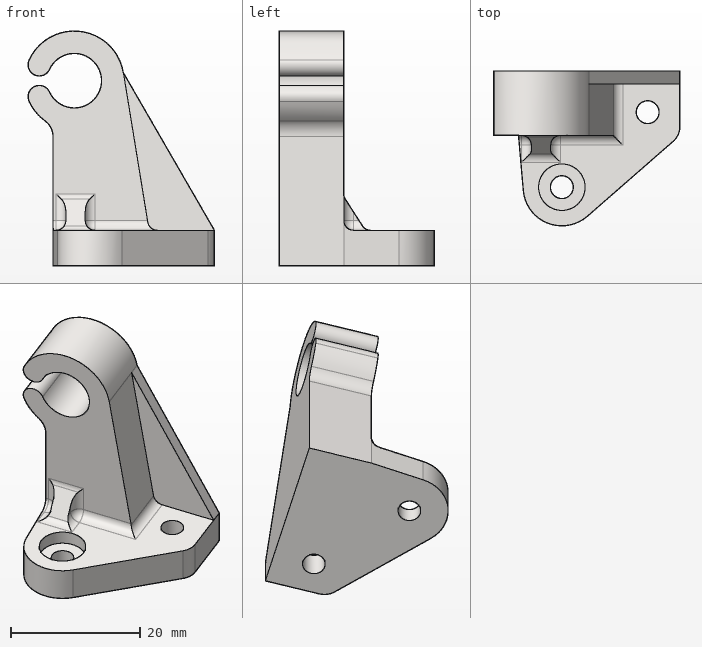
import cadquery as cq
import math

bore_radius = 4.2
ring_wall = 3.5
clip_gap = 1.44
top_height = 36.34
ring_radius = bore_radius + ring_wall
ring_z = top_height - ring_radius
tip_radius = ring_wall / 2
tip_orbit = bore_radius + tip_radius

base_width = 25.0
base_height = 5.5
base_left = -3.31
base_right = base_left + base_width
upright_depth = 10.0
neck_radius = 3.0
upright_lean = math.radians(9.26)

lobe_x = 3.41
lobe_y = -18.0
lobe_radius = 6.0
corner_radius = 3.0
screw_diameter = 3.5
head_diameter = 7.2
head_depth = 2.2
side_hole_margin = 5.0
side_hole_x = base_right - side_hole_margin
side_hole_y = -6.4

side_rib_thickness = 2.0
front_rib_inset = 2.0
front_rib_left = base_left + front_rib_inset
front_rib_width = 3.0
front_rib_reach = 3.33
front_rib_height = 5.18
root_fillet = 1.5

lean_top_x = ring_radius * math.cos(upright_lean)
lean_top_z = ring_z + ring_radius * math.sin(upright_lean)
lean_foot_x = lean_top_x + lean_top_z * math.tan(upright_lean)


def polar(center, radius, angle):
    """Point at the given radius and angle from the center."""
    return (center[0] + radius * math.cos(angle), center[1] + radius * math.sin(angle))


def lobe_tangent_angle(corner, side):
    """Polar angle on the lobe where a line from the corner touches it; side is +1 or -1."""
    dx = corner[0] - lobe_x
    dy = corner[1] - lobe_y
    return math.atan2(dy, dx) + side * math.acos(lobe_radius / math.hypot(dx, dy))


def make_base():
    """Plate with straight lines running from its two front corners tangentially onto the screw lobe."""
    lobe = (lobe_x, lobe_y)
    left_corner = (base_left, -upright_depth)
    right_corner = (base_right, -upright_depth)
    left_touch = polar(lobe, lobe_radius, lobe_tangent_angle(left_corner, 1))
    right_touch = polar(lobe, lobe_radius, lobe_tangent_angle(right_corner, -1))
    plate = (
        cq.Workplane("XY")
        .moveTo(base_left, 0)
        .lineTo(*left_corner)
        .lineTo(*left_touch)
        .threePointArc((lobe_x, lobe_y - lobe_radius), right_touch)
        .lineTo(*right_corner)
        .lineTo(base_right, 0)
        .close()
        .extrude(base_height)
    )
    corner_edge = cq.selectors.NearestToPointSelector((*right_corner, base_height / 2))
    return plate.edges("|Z").edges(corner_edge).fillet(corner_radius)


def make_upright():
    """Upright and clip ring as one profile, with round tips on both sides of the gap."""
    ring = (0, ring_z)
    tip_z = clip_gap / 2 + tip_radius
    tip_angle = math.asin(tip_z / tip_orbit)
    upper = math.pi - tip_angle
    lower = math.pi + tip_angle
    upper_tip = polar(ring, tip_orbit, upper)
    lower_tip = polar(ring, tip_orbit, lower)

    neck_x = base_left - neck_radius
    neck_z = ring_z - math.sqrt((ring_radius + neck_radius) ** 2 - neck_x ** 2)
    neck_angle = math.atan2(ring_z - neck_z, -neck_x)
    neck_center = (neck_x, neck_z)
    neck_on_ring = math.pi + neck_angle

    return (
        cq.Workplane("XZ")
        .moveTo(base_left, 0)
        .lineTo(lean_foot_x, 0)
        .lineTo(lean_top_x, lean_top_z)
        .threePointArc((0, top_height), polar(ring, ring_radius, upper))
        .threePointArc(polar(upper_tip, tip_radius, upper + math.pi / 2), polar(ring, bore_radius, upper))
        .threePointArc((bore_radius, ring_z), polar(ring, bore_radius, lower))
        .threePointArc(polar(lower_tip, tip_radius, lower - math.pi / 2), polar(ring, ring_radius, lower))
        .threePointArc(
            polar(ring, ring_radius, (lower + neck_on_ring) / 2),
            polar(ring, ring_radius, neck_on_ring),
        )
        .threePointArc(polar(neck_center, neck_radius, neck_angle / 2), (base_left, neck_z))
        .close()
        .extrude(upright_depth)
    )


def make_side_rib():
    """Thin triangular web along the back, from the ring down to the right end of the base."""
    return (
        cq.Workplane("XZ")
        .moveTo(lean_top_x, lean_top_z)
        .lineTo(base_right, base_height)
        .lineTo(base_right, 0)
        .lineTo(0, 0)
        .lineTo(0, lean_top_z)
        .close()
        .extrude(side_rib_thickness)
        .cut(cq.Workplane("XZ").center(0, ring_z).circle(bore_radius).extrude(side_rib_thickness))
    )


def make_front_rib():
    """Small triangular gusset between the front of the upright and the base."""
    return (
        cq.Workplane("YZ", origin=(front_rib_left, -upright_depth, base_height))
        .polyline([(0, 0), (-front_rib_reach, 0), (0, front_rib_height)])
        .close()
        .extrude(front_rib_width)
    )


def add_root_fillets(body):
    """Fillet the foot of the upright's front and leaning faces, and all round the front rib."""
    slack = 0.01
    root_zone = cq.selectors.BoxSelector(
        (base_left - slack, -upright_depth - front_rib_reach - slack, base_height - slack),
        (lean_foot_x + slack, -side_rib_thickness - slack, base_height + front_rib_height + slack),
    )
    return body.edges(root_zone).edges("|X or |Y or |Z").fillet(root_fillet)


def cut_screw_holes(body):
    """Two through holes; the one in the lobe is counterbored for a screw head."""
    for x, y in [(lobe_x, lobe_y), (side_hole_x, side_hole_y)]:
        body = body.cut(cq.Workplane("XY").center(x, y).circle(screw_diameter / 2).extrude(base_height))
    head = (
        cq.Workplane("XY", origin=(lobe_x, lobe_y, base_height - head_depth))
        .circle(head_diameter / 2)
        .extrude(head_depth)
    )
    return body.cut(head)


body = make_base().union(make_upright()).union(make_side_rib()).union(make_front_rib())
result = cut_screw_holes(add_root_fillets(body))